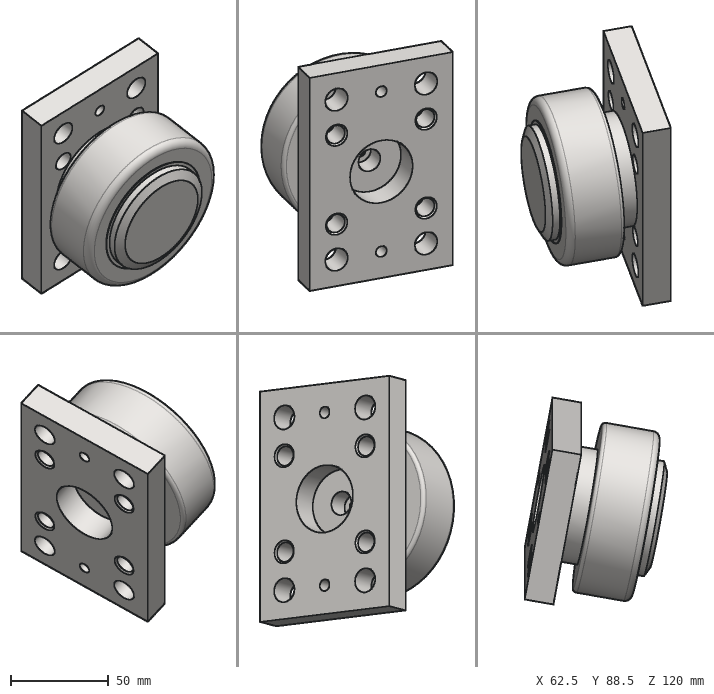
import cadquery as cq

PLATE_THICKNESS = 15.0
PLATE_WIDTH = 80.0
PLATE_HEIGHT = 120.0

ACCESS_DIAMETER = 35.0
HOLE_PITCH_Y = 50.0
BOLT_PITCH_Z = 90.0
BOLT_DIAMETER = 12.5
TAPPED_PITCH_Z = HOLE_PITCH_Y
TAPPED_DIAMETER = 10.1
TAPPED_MOUTH_DIAMETER = 12.0
PIN_PITCH_Z = BOLT_PITCH_Z
PIN_DIAMETER = 6.0

HUB_RADIUS = 30.0
HUB_GAP = 0.2
HUB_START_X = PLATE_THICKNESS + HUB_GAP
HUB_END_X = 62.5
HUB_CHAMFER_LENGTH = 2.5
HUB_CHAMFER_HEIGHT = 5.0
RING_DIAMETER = 88.5
RING_START_X = 25.3
RING_END_X = 55.8
RING_INNER_FILLET = 2.0
RING_OUTER_FILLET = 4.0
COLLAR_RADIUS = 32.0
COLLAR_HEIGHT = 0.4

BORE_DIAMETER = 12.2
BORE_DEPTH = 12.0
SCREW_DIAMETER = 4.9
SCREW_MOUTH_DIAMETER = 6.1
SCREW_DEPTH = 12.0


def cylinder(diameter, start_x, length):
    """Cylinder along the X axis."""
    return cq.Workplane("YZ", origin=(start_x, 0, 0)).circle(diameter / 2).extrude(length)


def countersunk_hole(diameter, mouth_diameter, start_x, depth):
    """Cutter along X whose start is widened by a 45 degree chamfer."""
    mouth_radius = mouth_diameter / 2
    radius = diameter / 2
    return (
        cq.Workplane("XY")
        .moveTo(start_x, 0)
        .lineTo(start_x, mouth_radius)
        .lineTo(start_x + mouth_radius - radius, radius)
        .lineTo(start_x + depth, radius)
        .lineTo(start_x + depth, 0)
        .close()
        .revolve(360, (0, 0, 0), (1, 0, 0))
    )


def make_plate():
    """Rectangular plate with access, bolt, tapped and pin holes."""
    plate = cq.Workplane("YZ").rect(PLATE_WIDTH, PLATE_HEIGHT).extrude(PLATE_THICKNESS)
    plate = plate.cut(cylinder(ACCESS_DIAMETER, 0, PLATE_THICKNESS))

    bolt_hole = cylinder(BOLT_DIAMETER, 0, PLATE_THICKNESS)
    tapped_hole = countersunk_hole(TAPPED_DIAMETER, TAPPED_MOUTH_DIAMETER, 0, PLATE_THICKNESS)
    pin_hole = cylinder(PIN_DIAMETER, 0, PLATE_THICKNESS)
    for side_z in (-1, 1):
        plate = plate.cut(pin_hole.translate((0, 0, side_z * PIN_PITCH_Z / 2)))
        for side_y in (-1, 1):
            y = side_y * HOLE_PITCH_Y / 2
            plate = plate.cut(bolt_hole.translate((0, y, side_z * BOLT_PITCH_Z / 2)))
            plate = plate.cut(tapped_hole.translate((0, y, side_z * TAPPED_PITCH_Z / 2)))
    return plate


def make_ring():
    """Outer ring with both rims rounded."""
    ring = cylinder(RING_DIAMETER, RING_START_X, RING_END_X - RING_START_X)
    ring = ring.faces("<X").edges().fillet(RING_INNER_FILLET)
    return ring.faces(">X").edges().fillet(RING_OUTER_FILLET)


def make_hub():
    """Solid hub tapered at its free end."""
    return (
        cq.Workplane("XY")
        .moveTo(HUB_START_X, 0)
        .lineTo(HUB_START_X, HUB_RADIUS)
        .lineTo(HUB_END_X - HUB_CHAMFER_LENGTH, HUB_RADIUS)
        .lineTo(HUB_END_X, HUB_RADIUS - HUB_CHAMFER_HEIGHT)
        .lineTo(HUB_END_X, 0)
        .close()
        .revolve(360, (0, 0, 0), (1, 0, 0))
    )


def make_roller():
    """Hub, ring and collar as one body, with the stepped hole."""
    collar = cylinder(2 * COLLAR_RADIUS, RING_END_X, COLLAR_HEIGHT)
    roller = make_hub().union(make_ring()).union(collar)

    screw_start_x = HUB_START_X + BORE_DEPTH
    bore = cylinder(BORE_DIAMETER, HUB_START_X, BORE_DEPTH)
    screw_hole = countersunk_hole(SCREW_DIAMETER, SCREW_MOUTH_DIAMETER, screw_start_x, SCREW_DEPTH)
    return roller.cut(bore).cut(screw_hole)


plate = make_plate()
roller = make_roller()
result = cq.Compound.makeCompound([plate.val(), roller.val()])